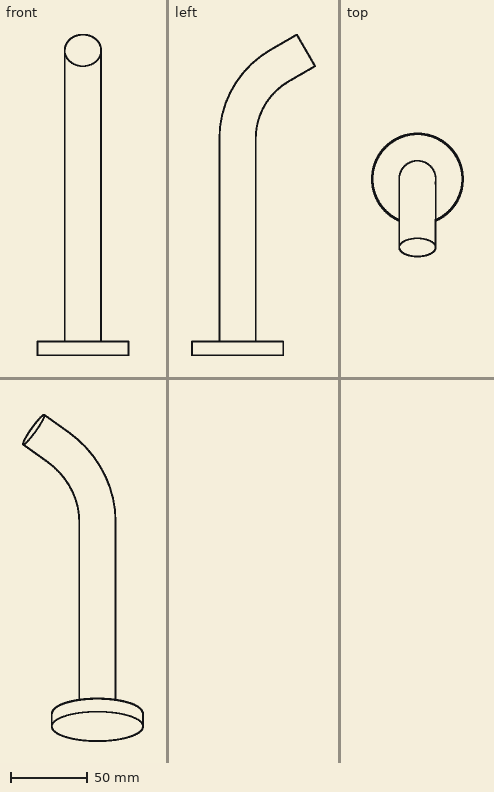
import cadquery as cq
import math

flange_diameter = 60.0
flange_height = 9.5
flange_edge_chamfer = 0.6

spout_diameter = 24.0
total_height = 210.3
bend_radius = 55.0
bend_angle = 60.0
tip_length = 20.0

bend_sin = math.sin(math.radians(bend_angle))
bend_cos = math.cos(math.radians(bend_angle))
bend_rise = bend_radius * bend_sin
tip_rise = tip_length * bend_cos
tip_face_rise = spout_diameter / 2 * bend_sin
bend_start_z = total_height - bend_rise - tip_rise - tip_face_rise


def make_flange():
    """Plate with a chamfered top edge."""
    plate = cq.Workplane("XY").circle(flange_diameter / 2).extrude(flange_height)
    return plate.faces(">Z").edges().chamfer(flange_edge_chamfer)


def make_spout():
    """Round bar standing on the flange: straight riser, bend and straight tip."""
    half_angle = math.radians(bend_angle / 2)
    bend_middle = (
        -bend_radius * (1 - math.cos(half_angle)),
        bend_start_z + bend_radius * math.sin(half_angle),
    )
    bend_end = (-bend_radius * (1 - bend_cos), bend_start_z + bend_rise)
    tip_end = (bend_end[0] - tip_length * bend_sin, bend_end[1] + tip_rise)
    centreline = (
        cq.Workplane("YZ")
        .moveTo(0, flange_height)
        .lineTo(0, bend_start_z)
        .threePointArc(bend_middle, bend_end)
        .lineTo(*tip_end)
    )
    base = cq.Workplane("XY").workplane(offset=flange_height)
    return base.circle(spout_diameter / 2).sweep(centreline)


flange = make_flange()
spout = make_spout()

result = cq.Compound.makeCompound([flange.val(), spout.val()])